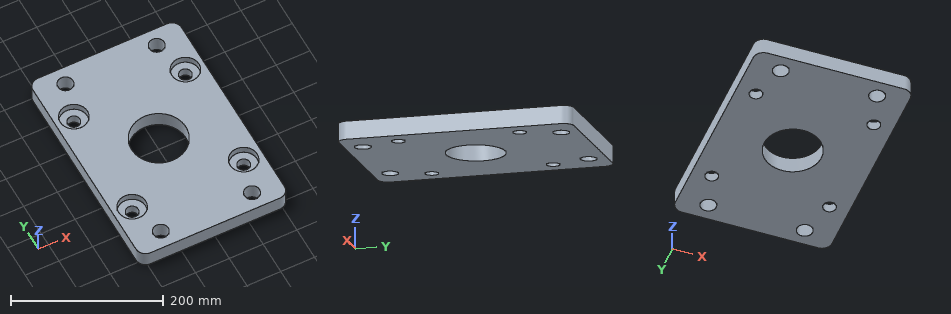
import cadquery as cq

width = 220.0
length = 320.0
thickness = 25.0
corner_radius = 14.5

bore_diameter = 80.0

mount_spacing_x = 135.0
mount_spacing_y = 2 * mount_spacing_x
mount_diameter = 22.0

screw_spacing = 165.0
screw_diameter = 18.0
counterbore_diameter = 40.0
counterbore_depth = 11.0

plate = (
    cq.Workplane("XY")
    .box(width, length, thickness, centered=(True, True, False))
    .edges("|Z")
    .fillet(corner_radius)
)

plate = plate.faces(">Z").workplane().hole(bore_diameter)

plate = (
    plate.faces(">Z")
    .workplane()
    .rarray(mount_spacing_x, mount_spacing_y, 2, 2)
    .hole(mount_diameter)
)

result = (
    plate.faces(">Z")
    .workplane()
    .rarray(screw_spacing, screw_spacing, 2, 2)
    .cboreHole(screw_diameter, counterbore_diameter, counterbore_depth)
)